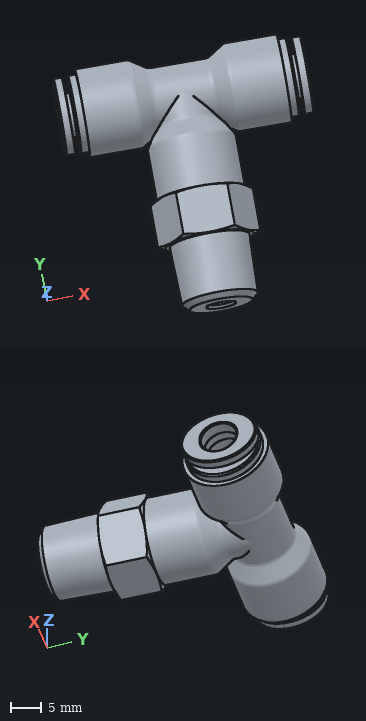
import cadquery as cq
import math


BARREL_DIAMETER = 14.9
WAIST_DIAMETER = 11.0
CONE_START = 5.0
CONE_END = 8.0
CONE_BLEND_RADIUS = 1.0
ARM_END = 17.0
TUBE_HOLE_FLOOR = CONE_END

COLLAR_DIAMETER = 13.15
COLLAR_END = 18.6
COLLAR_EDGE_CHAMFER = 0.3

TUBE_HOLE_DIAMETER = 6.2
SLEEVE_NECK_DIAMETER = 7.5
SLEEVE_HEAD_WIDTH = 13.0
SLEEVE_HEAD_HEIGHT = 11.0
SLEEVE_HEAD_START = 19.35
SLEEVE_END = 41.9 / 2
SLEEVE_EDGE_CHAMFER = 0.2

HEX_ACROSS_FLATS = 15.0
HEX_ACROSS_CORNERS = HEX_ACROSS_FLATS / math.cos(math.radians(30))
HEX_END = 25.0
HEX_CHAMFER_DIAMETER = 14.9
HEX_CHAMFER_ANGLE = 20
STEM_END = 36.0
THREAD_ROOT_DIAMETER = 13.47
THREAD_TAPER = 1 / 16
THREAD_CHAMFER_LENGTH = 1.0
STEM_TIP_DIAMETER = 10.7
STEM_HOLE_DIAMETER = 4.0
STEM_HOLE_CHAMFER = 0.5

END_TURNS = (0, 180)


def along_x(radius, start, end):
    """Cylinder on the run axis between two X positions."""
    return cq.Workplane("YZ").workplane(offset=start).circle(radius).extrude(end - start)


def arm():
    """Arm along +X from the crossing point: waist, cone and barrel."""
    waist = WAIST_DIAMETER / 2
    barrel = BARREL_DIAMETER / 2
    profile = (
        cq.Workplane("XY")
        .polyline(
            [
                (0, 0),
                (0, waist),
                (CONE_START, waist),
                (CONE_END, barrel),
                (ARM_END, barrel),
                (ARM_END, 0),
            ]
        )
        .close()
    )
    turned = profile.revolve(360, (0, 0, 0), (1, 0, 0))
    cone_rims = turned.edges("%CIRCLE").edges("not(<X or >X)")
    return cone_rims.fillet(CONE_BLEND_RADIUS)


def make_tee():
    """Two run arms with blind tube holes, and a solid branch arm."""
    right_arm = arm()
    left_arm = right_arm.mirror("YZ")
    branch = arm().rotate((0, 0, 0), (0, 0, 1), -90)
    tee = right_arm.union(left_arm).union(branch)
    tube_hole = along_x(TUBE_HOLE_DIAMETER / 2, TUBE_HOLE_FLOOR, ARM_END)
    return tee.cut(tube_hole).cut(tube_hole.mirror("YZ"))


def make_collar():
    """Collar on the +X side."""
    collar = along_x(COLLAR_DIAMETER / 2, ARM_END, COLLAR_END).faces(">X").chamfer(COLLAR_EDGE_CHAMFER)
    return collar.cut(along_x(TUBE_HOLE_DIAMETER / 2, ARM_END, COLLAR_END))


def make_sleeve():
    """Release sleeve on the +X side: round neck and oval head."""
    neck = along_x(SLEEVE_NECK_DIAMETER / 2, COLLAR_END, SLEEVE_HEAD_START)
    head = (
        cq.Workplane("YZ")
        .workplane(offset=SLEEVE_HEAD_START)
        .ellipse(SLEEVE_HEAD_WIDTH / 2, SLEEVE_HEAD_HEIGHT / 2)
        .extrude(SLEEVE_END - SLEEVE_HEAD_START)
    )
    hole = along_x(TUBE_HOLE_DIAMETER / 2, COLLAR_END, SLEEVE_END)
    sleeve = neck.union(head).cut(hole)
    return sleeve.faces(">X").chamfer(SLEEVE_EDGE_CHAMFER)


def turned_about_branch(points):
    """Solid of revolution about the Y axis from (radius, distance toward -Y) points."""
    return (
        cq.Workplane("XY")
        .polyline([(radius, -distance) for radius, distance in points])
        .close()
        .revolve(360, (0, 0, 0), (0, 1, 0))
    )


def make_stem():
    """Chamfered hexagon and tapered thread with a hole through both."""
    hexagon = (
        cq.Workplane("XZ")
        .workplane(offset=ARM_END)
        .polygon(6, HEX_ACROSS_CORNERS)
        .extrude(HEX_END - ARM_END)
    )
    corner = HEX_ACROSS_CORNERS / 2
    rim = HEX_CHAMFER_DIAMETER / 2
    drop = (corner - rim) * math.tan(math.radians(HEX_CHAMFER_ANGLE))
    hexagon = hexagon.intersect(
        turned_about_branch(
            [
                (0, ARM_END),
                (rim, ARM_END),
                (corner, ARM_END + drop),
                (corner, HEX_END - drop),
                (rim, HEX_END),
                (0, HEX_END),
            ]
        )
    )

    chamfer_start = STEM_END - THREAD_CHAMFER_LENGTH
    thread_end_diameter = THREAD_ROOT_DIAMETER - THREAD_TAPER * (chamfer_start - HEX_END)
    thread = turned_about_branch(
        [
            (0, HEX_END),
            (THREAD_ROOT_DIAMETER / 2, HEX_END),
            (thread_end_diameter / 2, chamfer_start),
            (STEM_TIP_DIAMETER / 2, STEM_END),
            (0, STEM_END),
        ]
    )

    hole_radius = STEM_HOLE_DIAMETER / 2
    hole = turned_about_branch(
        [
            (0, ARM_END),
            (hole_radius, ARM_END),
            (hole_radius, STEM_END - STEM_HOLE_CHAMFER),
            (hole_radius + STEM_HOLE_CHAMFER, STEM_END),
            (0, STEM_END),
        ]
    )
    return hexagon.union(thread).cut(hole)


tee = make_tee()
stem = make_stem()
collars = []
sleeves = []
for turn in END_TURNS:
    collars.append(make_collar().rotate((0, 0, 0), (0, 0, 1), turn))
    sleeves.append(make_sleeve().rotate((0, 0, 0), (0, 0, 1), turn))

result = cq.Compound.makeCompound(
    [tee.val(), stem.val()] + [collar.val() for collar in collars] + [sleeve.val() for sleeve in sleeves]
)